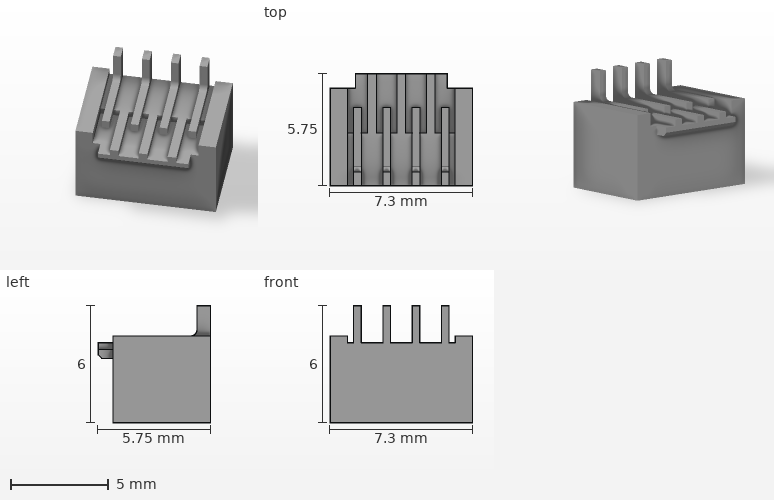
import cadquery as cq

housing_width = 7.3
housing_depth = 5.0
housing_height = 4.45
side_wall_width = 0.9
deck_height = 4.1
deck_width = housing_width - 2 * side_wall_width

tongue_width = 4.7
tongue_length = 0.75
tongue_bottom = 3.28
tongue_chamfer = 0.2
rear_end = housing_depth + tongue_length

recess_floor = 3.75
recess_front = 2.7
rib_width = 0.45

contact_count = 4
contact_pitch = 1.5
contact_width = 0.4
contact_top = 6.0
post_depth = 0.7
leg_rear = 4.0
leg_thickness = 0.45
leg_top = housing_height
leg_bottom = leg_top - leg_thickness
bend_radius = 0.3


def block(width, y_start, y_end, z_start, z_end, x_center=0.0):
    """Box centred on x_center and spanning the given Y and Z ranges."""
    return cq.Workplane("XY").box(
        width, y_end - y_start, z_end - z_start, centered=(True, False, False)
    ).translate((x_center, y_start, z_start))


def row_positions(count):
    """X positions of a centred row at the contact pitch."""
    return [(i - (count - 1) / 2) * contact_pitch for i in range(count)]


def make_housing():
    body = block(housing_width, 0, housing_depth, 0, housing_height)
    return body.cut(block(deck_width, 0, housing_depth, deck_height, housing_height))


def make_tongue():
    tongue = block(tongue_width, housing_depth, rear_end, tongue_bottom, deck_height)
    return tongue.faces(">Y").edges("<Z").chamfer(tongue_chamfer)


def make_recess():
    recess = block(deck_width, recess_front, rear_end, recess_floor, deck_height)
    for x in row_positions(contact_count - 1):
        recess = recess.cut(block(rib_width, recess_front, rear_end, recess_floor, deck_height, x))
    return recess


def make_contact(x_center):
    """Contact embedded in the deck, its leg overhanging the recess, with a rounded inside bend."""
    profile = (
        cq.Workplane("YZ")
        .moveTo(0, leg_bottom)
        .lineTo(leg_rear, leg_bottom)
        .lineTo(leg_rear, leg_top)
        .lineTo(post_depth + bend_radius, leg_top)
        .radiusArc((post_depth, leg_top + bend_radius), bend_radius)
        .lineTo(post_depth, contact_top)
        .lineTo(0, contact_top)
        .close()
    )
    return profile.extrude(contact_width / 2, both=True).translate((x_center, 0, 0))


result = make_housing().union(make_tongue()).cut(make_recess())
for contact_x in row_positions(contact_count):
    result = result.union(make_contact(contact_x))